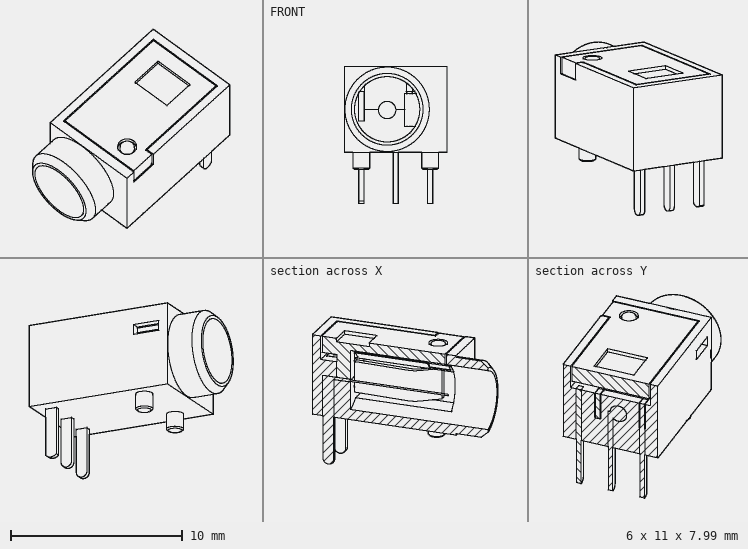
import cadquery as cq
import math


TOTAL_LENGTH = 11
HOUSING_WIDTH = 6.0
HOUSING_LENGTH = 9.0
HOUSING_HEIGHT = 5.0
LEFT_X = -2.5
RIGHT_X = LEFT_X + HOUSING_WIDTH
MID_X = LEFT_X + HOUSING_WIDTH / 2
SIDE_WALL = 0.5
FRONT_WALL = 0.6
BACK_WALL = 0.54
CAVITY_LEFT = LEFT_X + SIDE_WALL
CAVITY_RIGHT = RIGHT_X - SIDE_WALL
CAVITY_BACK = HOUSING_LENGTH - BACK_WALL
FLOOR_Z = 3.53

AXIS_Z = HOUSING_HEIGHT / 2
BARREL_LENGTH = TOTAL_LENGTH - HOUSING_LENGTH
BARREL_DIAMETER = 4.92
BARREL_RADIUS = BARREL_DIAMETER / 2
BARREL_RIM_RADIUS = 2.09
BARREL_BEVEL_LENGTH = 0.43
BORE_RADIUS = 1.9
BORE_END = 6.6

WINDOW_FRONT = 0.58
WINDOW_BACK = 2.2
WINDOW_BOTTOM = 3.4
WINDOW_TOP = 4.0
NOTCH_BACK = 2.31
NOTCH_BOTTOM = WINDOW_TOP
LEAF_POCKET_LEFT = 1.28
LEAF_POCKET_RIGHT = 2.65
LEAF_POCKET_Z = 1.1

PEG_DIAMETER = 1.0
PEG_RADIUS = PEG_DIAMETER / 2
PEG_LENGTH = 1.0
PEG_Y = 2.0
PEG_CHAMFER = 0.09

LID_GAP = 0.07
LID_BOTTOM = 3.96
PLUG_BACK = 7.48
CHEEK_BOTTOM = 3.45
RELIEF_FRONT = 0.76
RELIEF_BACK = 2.1
RELIEF_BOTTOM = 3.56
RELIEF_BOTTOM_X = 1.64
RELIEF_TOP_X = 1.48
POCKET_WIDTH = 2.51
POCKET_LENGTH = 2.02
POCKET_Y = 6.46
RECESS_DEPTH = 0.22
BUTTON_X = 1.99
BUTTON_Y = 1.7
BUTTON_RADIUS = 0.42
BUTTON_FILLET = 0.04
BUTTON_GROOVE_RADIUS = 0.55

SHEET = 0.31
TERMINAL_PITCH = 2.0
TERMINAL_WIDTH = 0.7
TERMINAL_LENGTH = 2.99
TERMINAL_Y = 8.0
TERMINAL_BACK = TERMINAL_Y + TERMINAL_WIDTH / 2
SHALLOW_TIP = 0.14
ROUND_TIP = TERMINAL_WIDTH / 2
LEFT_TERMINAL_X = MID_X - TERMINAL_PITCH
RIGHT_TERMINAL_X = MID_X + TERMINAL_PITCH
PIN_RADIUS = 0.51
PIN_Z = AXIS_Z - 0.04
PIN_TIP_Y = 0
ARM_BOTTOM = 1.83
ARM_TOP = FLOOR_Z
ARM_CORNER = 0.19
ARM_SLOT_WIDTH = 0.36
RIGHT_ARM_X = 1.3
LEAF_BOTTOM = 1.51
LEAF_TOP = 3.42
LEAF_BEND_X = 1.0
LEAF_BEND_Y = 2.86
LEAF_TIP_X = 2.0
LEAF_FLARE_ANGLE = 36
LEAF_BEND_RADIUS = 1.1


def block(x_range, y_range, z_range):
    """Box spanning the given (low, high) pair along each axis."""
    (x0, x1), (y0, y1), (z0, z1) = x_range, y_range, z_range
    return cq.Workplane("XY").box(x1 - x0, y1 - y0, z1 - z0, centered=False).translate((x0, y0, z0))


def around(middle, width):
    """(low, high) pair of a given width about a middle value."""
    return (middle - width / 2, middle + width / 2)


def y_cylinder(radius, y_start, y_end, z):
    """Cylinder along Y on the plane x = 0."""
    return cq.Workplane("XZ", origin=(0, y_start, z)).circle(radius).extrude(y_start - y_end)


def terminal(x, top_z, tip_rise):
    """Flat solder leg with an arched lower end."""
    front = TERMINAL_Y - TERMINAL_WIDTH / 2
    shoulder_z = tip_rise - TERMINAL_LENGTH
    return (
        cq.Workplane("YZ", origin=(x - SHEET / 2, 0, 0))
        .moveTo(front, top_z)
        .lineTo(front, shoulder_z)
        .threePointArc((TERMINAL_Y, -TERMINAL_LENGTH), (TERMINAL_BACK, shoulder_z))
        .lineTo(TERMINAL_BACK, top_z)
        .close()
        .extrude(SHEET)
    )


def contact_arm(x):
    """Upright plate running forward to the end of the bore, with rounded front corners."""
    arm = block(around(x, SHEET), (BORE_END, TERMINAL_BACK), (ARM_BOTTOM, ARM_TOP))
    return arm.faces("<Y").edges("|X").fillet(ARM_CORNER)


def right_web():
    """Cross strip joining the right arm to its offset terminal."""
    x_range = (RIGHT_ARM_X - SHEET / 2, RIGHT_TERMINAL_X + SHEET / 2)
    return block(x_range, (TERMINAL_BACK - SHEET, TERMINAL_BACK), (ARM_BOTTOM, ARM_TOP))


def spring_leaf():
    """Leaf that leans toward the pin, bends, and flares outward at the front."""
    flare_length = (LEAF_TIP_X - LEAF_BEND_X) / math.tan(math.radians(LEAF_FLARE_ANGLE))
    root = (RIGHT_ARM_X - SHEET / 2, BORE_END)
    bend = (LEAF_BEND_X, LEAF_BEND_Y)
    tip = (LEAF_TIP_X, LEAF_BEND_Y - flare_length)
    inner_side = [root, bend, tip]
    outer_side = [(x + SHEET, y) for x, y in reversed(inner_side)]
    leaf = (
        cq.Workplane("XY", origin=(0, 0, LEAF_BOTTOM))
        .polyline(inner_side + outer_side)
        .close()
        .extrude(LEAF_TOP - LEAF_BOTTOM)
    )
    middle_z = (LEAF_BOTTOM + LEAF_TOP) / 2
    for x, radius in ((LEAF_BEND_X, LEAF_BEND_RADIUS), (LEAF_BEND_X + SHEET, LEAF_BEND_RADIUS - SHEET)):
        bend_edge = cq.selectors.NearestToPointSelector((x, LEAF_BEND_Y, middle_z))
        leaf = leaf.edges(bend_edge).fillet(radius)
    return leaf


def make_left_contact():
    return contact_arm(LEFT_TERMINAL_X).union(terminal(LEFT_TERMINAL_X, ARM_TOP, SHALLOW_TIP))


def make_right_contact():
    leg = terminal(RIGHT_TERMINAL_X, ARM_TOP, ROUND_TIP)
    return contact_arm(RIGHT_ARM_X).union(right_web()).union(leg).union(spring_leaf())


def make_pin_contact():
    """Round-nosed centre pin carried by the middle terminal."""
    shank = y_cylinder(PIN_RADIUS, PIN_TIP_Y + PIN_RADIUS, TERMINAL_BACK, PIN_Z)
    nose = cq.Workplane("XY").sphere(PIN_RADIUS).translate((0, PIN_TIP_Y + PIN_RADIUS, PIN_Z))
    return shank.union(nose).union(terminal(MID_X, PIN_Z, ROUND_TIP))


def arm_slots():
    """Clearance slots for both contact arms, each with a shallow notch above it up to the lid plate."""
    slots = cq.Workplane("XY")
    for x in (LEFT_TERMINAL_X, RIGHT_ARM_X):
        x_range = around(x, ARM_SLOT_WIDTH)
        slots = slots.add(block(x_range, (BORE_END, TERMINAL_BACK), (ARM_BOTTOM, ARM_TOP)))
        slots = slots.add(block(x_range, (BORE_END, BORE_END + ARM_CORNER), (ARM_TOP, LID_BOTTOM)))
    return slots.combine()


def plug_space(top_z):
    """Space of the lid plug behind the bore, from the barrel axis height up to a given height."""
    x_range = (LEFT_TERMINAL_X - ARM_SLOT_WIDTH / 2, RIGHT_ARM_X + ARM_SLOT_WIDTH / 2)
    return block(x_range, (BORE_END, PLUG_BACK), (AXIS_Z, top_z))


def barrel():
    """Round nose in front of the housing, bevelled at its rim."""
    bevel_start = BARREL_BEVEL_LENGTH - BARREL_LENGTH
    return (
        cq.Workplane("XY", origin=(0, 0, AXIS_Z))
        .polyline(
            [
                (0, 0),
                (BARREL_RADIUS, 0),
                (BARREL_RADIUS, bevel_start),
                (BARREL_RIM_RADIUS, -BARREL_LENGTH),
                (0, -BARREL_LENGTH),
            ]
        )
        .close()
        .revolve(360, (0, 0, 0), (0, 1, 0))
    )


def locating_pegs():
    return (
        cq.Workplane("XY")
        .pushPoints([(LEFT_TERMINAL_X, PEG_Y), (RIGHT_TERMINAL_X, PEG_Y)])
        .circle(PEG_RADIUS)
        .extrude(-PEG_LENGTH)
        .faces("<Z")
        .chamfer(PEG_CHAMFER)
    )


def make_housing(contacts):
    width = (LEFT_X, RIGHT_X)
    housing = block(width, (0, HOUSING_LENGTH), (0, HOUSING_HEIGHT)).union(barrel()).union(locating_pegs())

    housing = housing.cut(
        block((CAVITY_LEFT, CAVITY_RIGHT), (FRONT_WALL, CAVITY_BACK), (FLOOR_Z, HOUSING_HEIGHT))
    )
    housing = housing.cut(
        block((CAVITY_RIGHT, RIGHT_X), (FRONT_WALL, NOTCH_BACK), (NOTCH_BOTTOM, HOUSING_HEIGHT))
    )

    housing = housing.cut(y_cylinder(BORE_RADIUS, -BARREL_LENGTH, BORE_END, AXIS_Z))
    housing = housing.cut(plug_space(FLOOR_Z))
    housing = housing.cut(
        block((LEAF_POCKET_LEFT, LEAF_POCKET_RIGHT), (FRONT_WALL, BORE_END), (LEAF_POCKET_Z, FLOOR_Z))
    )

    housing = housing.cut(
        block((LEFT_X, CAVITY_LEFT), (WINDOW_FRONT, WINDOW_BACK), (WINDOW_BOTTOM, WINDOW_TOP))
    )
    housing = housing.cut(
        block((CAVITY_LEFT, 0), (WINDOW_FRONT, WINDOW_BACK), (WINDOW_BOTTOM, FLOOR_Z))
    )

    housing = housing.cut(arm_slots())
    for contact in contacts:
        housing = housing.cut(contact)
    return housing


def arch_relief():
    """Shallow cut with a flat, leaning back in the right flank of the arch."""
    return (
        cq.Workplane("XZ", origin=(0, RELIEF_FRONT, 0))
        .polyline(
            [
                (0, RELIEF_BOTTOM),
                (RELIEF_BOTTOM_X, RELIEF_BOTTOM),
                (RELIEF_TOP_X, LID_BOTTOM),
                (0, LID_BOTTOM),
            ]
        )
        .close()
        .extrude(RELIEF_FRONT - RELIEF_BACK)
    )


def make_lid(pin_contact):
    front = FRONT_WALL + LID_GAP
    thickness = (LID_BOTTOM, HOUSING_HEIGHT)
    lid = block(
        (CAVITY_LEFT + LID_GAP, CAVITY_RIGHT - LID_GAP), (front, CAVITY_BACK - LID_GAP), thickness
    )
    tab_thickness = (NOTCH_BOTTOM, HOUSING_HEIGHT)
    tab = block((CAVITY_RIGHT - LID_GAP, RIGHT_X - LID_GAP), (front, NOTCH_BACK - LID_GAP), tab_thickness)
    cheek = block((LEAF_POCKET_LEFT, LEAF_POCKET_RIGHT), (FRONT_WALL, BORE_END), (CHEEK_BOTTOM, LID_BOTTOM))
    lid = lid.union(tab).union(plug_space(LID_BOTTOM)).union(cheek)

    lid = lid.cut(y_cylinder(BORE_RADIUS, 0, BORE_END, AXIS_Z)).cut(arch_relief())
    lid = lid.cut(arm_slots()).cut(pin_contact)

    recess = (HOUSING_HEIGHT - RECESS_DEPTH, HOUSING_HEIGHT)
    lid = lid.cut(block(around(MID_X, POCKET_WIDTH), around(POCKET_Y, POCKET_LENGTH), recess))

    base = cq.Workplane("XY", origin=(BUTTON_X, BUTTON_Y, HOUSING_HEIGHT - RECESS_DEPTH))
    button = base.circle(BUTTON_RADIUS).extrude(RECESS_DEPTH).faces(">Z").edges().fillet(BUTTON_FILLET)
    return lid.cut(base.circle(BUTTON_GROOVE_RADIUS).extrude(RECESS_DEPTH)).union(button)


left_contact = make_left_contact()
right_contact = make_right_contact()
pin_contact = make_pin_contact()
housing = make_housing([left_contact, right_contact, pin_contact])
lid = make_lid(pin_contact)

result = cq.Compound.makeCompound(
    [body.solids().val() for body in (housing, lid, left_contact, right_contact, pin_contact)]
)